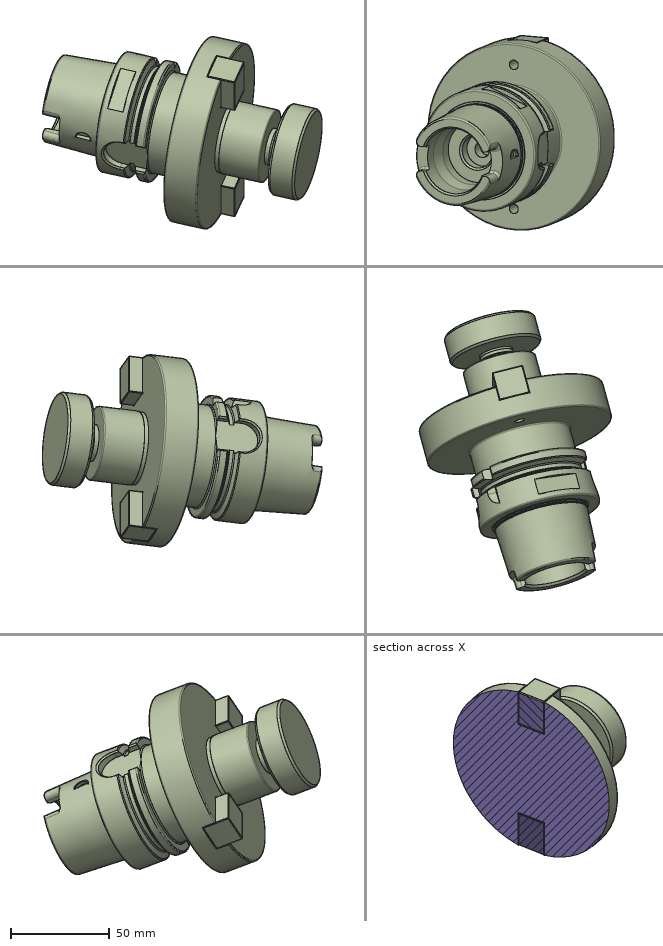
import cadquery as cq
import math


total_length = 136.0
shank_length = 32.0
shank_front_r = 22.8
shank_rear_r = 24.3
shank_edge_r = 1.0
relief_width = 1.6
relief_r = 24.0
relief_corner = 0.5
face_recess_r = 25.5
face_recess_depth = 0.5

grip_length = 25.8
grip_d = 63.0
rim_r = 0.8
groove_center_x = 18.0
groove_r = 27.3
groove_top_width = 6.0
groove_floor_width = 2.0
groove_corner_length = 0.7
groove_corner_height = 0.5
groove_edge = 0.5

neck_r = 26.4
neck_fillet = 0.7
disc_x = 41.9
disc_length = 18.0
disc_d = 97.0
disc_edge_r = 0.7
pilot_d = 38.1
pilot_end_x = 83.5
pilot_edge_r = 0.5
pilot_relief_d = 37.5
pilot_relief_length = 2.2

bore_r = 17.0
bore_mouth_r = 17.8
bore_mouth_length = 1.4
bore_land_end = 12.9
bore_taper_end = 21.9
bore_depth = 28.5
bore_floor_d = 31.7
socket_mouth_r = 9.5
socket_d = 17.0
socket_depth = 6.8
coolant_d = 8.0
coolant_depth = 6.8

tail_slot_width = 12.6
tail_slot_depth_front = 9.9
tail_slot_depth_back = 5.8
tail_slot_edge_r = 2.7
tail_slot_floor_r = 1.4
access_x = -9.1
access_mouth_r = 4.4
access_d = 7.5
access_depth = 2.2

grip_slot_r = 8.7
grip_slot_center_x = 12.8
grip_slot_floor_y = 26.4
grip_slot_edge = 1.0
notch_y = 19.9
notch_z = 20.0
notch_r = 7.9
chip_pocket_x = 3.4
chip_pocket_length = 8.2
chip_pocket_floor_r = 29.2
chip_pocket_tilt = 21.5
push_hole_d = 4.9
push_hole_z = 37.4

key_width = 16.0
key_length = 15.0
key_x = 52.2
key_inner_z = 27.6
key_outer_z = 47.7
key_edge = 0.4
screw_thread_d = 19.0
screw_thread_end_x = 85.8
screw_depth = 27.2
screw_relief_d = 17.3
screw_relief_x = 87.2
screw_relief_length = 1.6
screw_collar_d = 17.5
screw_collar_x = 86.8
screw_head_x = 89.9
screw_head_r = 24.0
screw_head_edge_length = 1.2
screw_head_edge_depth = 1.0

shank_x = -shank_length
disc_end_x = disc_x + disc_length
grip_r = grip_d / 2
disc_r = disc_d / 2
pilot_r = pilot_d / 2
bore_floor_r = bore_floor_d / 2
socket_r = socket_d / 2
access_r = access_d / 2
screw_head_end_x = shank_x + total_length
screw_bottom_x = pilot_end_x - screw_depth

tolerance = 0.07
clear = 13.6


def turned(profile):
    """Solid of revolution about X from (x, radius) points."""
    return cq.Workplane("XY").polyline(profile).close().revolve(360, (0, 0, 0), (1, 0, 0))


def rounded(body, corners, radius):
    """Body with its circular edges at the given (x, radius) corners rounded."""
    edges = [
        edge for edge in body.edges().vals()
        if edge.geomType() == "CIRCLE" and any(
            math.isclose(edge.Center().x, x, abs_tol=tolerance)
            and math.isclose(edge.radius(), r, abs_tol=tolerance)
            for x, r in corners
        )
    ]
    return body.newObject(edges).fillet(radius)


def box(x_range, y_range, z_range):
    """Box from its ranges along X, Y and Z."""
    ranges = (x_range, y_range, z_range)
    size = [high - low for low, high in ranges]
    return cq.Workplane("XY").box(*size, centered=False).translate([low for low, high in ranges])


def shank():
    """Hollow tapered shank with two rounded drive slots in its open end."""
    blank = turned([
        (shank_x, 0),
        (shank_x, shank_front_r),
        (-relief_width, shank_rear_r),
        (-relief_width + relief_corner, relief_r),
        (-relief_corner, relief_r),
        (0, shank_rear_r),
        (0, 0),
    ])
    body = blank.cut(shank_bore())
    half = tail_slot_width / 2
    reach = shank_rear_r + clear
    body = body.cut(box((shank_x - clear, shank_x + tail_slot_depth_front), (-reach, 0), (-half, half)))
    body = body.cut(box((shank_x - clear, shank_x + tail_slot_depth_back), (0, reach), (-half, half)))

    body = body.newObject([e for e in body.edges().vals() if is_slot_side_edge(e)]).fillet(tail_slot_edge_r)
    body = body.newObject([e for e in body.edges().vals() if is_slot_floor_edge(e)]).fillet(tail_slot_floor_r)
    return body.intersect(rounded(blank, [(shank_x, shank_front_r)], shank_edge_r))


def is_slot_side_edge(edge):
    """True for the edges where the sides of the shank slots meet the outside of the taper."""
    center = edge.Center()
    on_side = math.isclose(abs(center.z), tail_slot_width / 2, abs_tol=tolerance)
    outside = abs(center.y) > (bore_r + shank_front_r) / 2
    return on_side and outside and edge.BoundingBox().xlen > tolerance


def is_slot_floor_edge(edge):
    """True for the straight edges where the sides of the shank slots meet their floors."""
    across = edge.geomType() == "LINE" and edge.BoundingBox().xlen < tolerance
    return across and edge.Center().x > shank_x + tail_slot_depth_back - tolerance


def shank_bore():
    """Bore of the shank: conical mouth, straight land, taper, straight end and stepped hole in the floor."""
    floor_x = shank_x + bore_depth
    socket_x = floor_x + socket_depth
    return turned([
        (shank_x, 0),
        (shank_x, bore_mouth_r),
        (shank_x + bore_mouth_length, bore_r),
        (shank_x + bore_land_end, bore_r),
        (shank_x + bore_taper_end, bore_floor_r),
        (floor_x, bore_floor_r),
        (floor_x, socket_mouth_r),
        (floor_x + socket_mouth_r - socket_r, socket_r),
        (socket_x, socket_r),
        (socket_x, coolant_d / 2),
        (socket_x + coolant_depth, coolant_d / 2),
        (socket_x + coolant_depth, 0),
    ])


def flange_and_pilot():
    """Gripping flange, neck, drive disc and pilot, turned in one piece behind the seating face."""
    groove_front = groove_center_x - groove_top_width / 2
    groove_back = groove_center_x + groove_top_width / 2
    floor_front = groove_center_x - groove_floor_width / 2
    floor_back = groove_center_x + groove_floor_width / 2
    body = turned([
        (0, 0),
        (0, shank_rear_r),
        (face_recess_depth, shank_rear_r),
        (face_recess_depth, face_recess_r),
        (0, face_recess_r),
        (0, grip_r),
        (groove_front - groove_edge, grip_r),
        (groove_front, grip_r - groove_edge),
        (floor_front - groove_corner_length, groove_r + groove_corner_height),
        (floor_front, groove_r),
        (floor_back, groove_r),
        (floor_back + groove_corner_length, groove_r + groove_corner_height),
        (groove_back, grip_r - groove_edge),
        (groove_back + groove_edge, grip_r),
        (grip_length, grip_r),
        (grip_length, neck_r),
        (disc_x, neck_r),
        (disc_x, disc_r),
        (disc_end_x, disc_r),
        (disc_end_x, pilot_relief_d / 2),
        (disc_end_x + pilot_relief_length, pilot_relief_d / 2),
        (disc_end_x + pilot_relief_length, pilot_r),
        (pilot_end_x, pilot_r),
        (pilot_end_x, 0),
    ])
    body = rounded(body, [(0, grip_r), (grip_length, grip_r)], rim_r)
    body = rounded(body, [(grip_length, neck_r), (disc_x, neck_r)], neck_fillet)
    body = rounded(body, [(disc_x, disc_r), (disc_end_x, disc_r)], disc_edge_r)
    return rounded(body, [(pilot_end_x, pilot_r)], pilot_edge_r)


def access_pocket():
    """Half-round pocket above Z = 0, with a conical mouth, sunk into the -Y side of the taper."""
    surface_r = shank_rear_r - (shank_rear_r - shank_front_r) * -access_x / shank_length
    mouth_depth = access_mouth_r - access_r
    half_profile = [
        (0, 0),
        (access_r, 0),
        (access_r, access_depth - mouth_depth),
        (access_mouth_r, access_depth),
        (access_mouth_r, access_depth + clear),
        (0, access_depth + clear),
    ]
    pocket = cq.Workplane("XY").polyline(half_profile).close().revolve(180, (0, 0, 0), (0, 1, 0))
    pocket = pocket.rotate((0, 0, 0), (1, 0, 0), 180)
    return pocket.translate((access_x, access_depth - surface_r, 0))


def round_ended_cutter(center_x, center_z, radius, floor_y):
    """Cutter for a slot with a round end about center_x; it runs to the neck and is cut down to floor_y."""
    end_x = grip_length + neck_fillet
    profile = (
        cq.Workplane("XZ", origin=(0, floor_y, 0))
        .moveTo(end_x, center_z - radius)
        .lineTo(center_x, center_z - radius)
        .threePointArc((center_x - radius, center_z), (center_x, center_z + radius))
        .lineTo(end_x, center_z + radius)
        .close()
    )
    return profile.extrude(-clear)


def grip_slots():
    """Cutters for the two opposite keyways of the gripping flange, chamfered where they open into the rim."""
    end_x = grip_length + neck_fillet
    rim = turned([(0, 0), (0, grip_r), (end_x, grip_r), (end_x, 0)])
    slot = round_ended_cutter(grip_slot_center_x, 0, grip_slot_r, grip_slot_floor_y)
    slotted = rim.cut(slot).cut(slot.mirror("XZ"))
    rim_edges = [edge for edge in slotted.edges().vals() if is_grip_slot_edge(edge)]
    return rim.cut(slotted.newObject(rim_edges).chamfer(grip_slot_edge))


def is_grip_slot_edge(edge):
    """True for the edges where the walls of the keyways meet the cylindrical rim of the flange."""
    start, middle, end = (edge.positionAt(along) for along in (0, 0.5, 1))
    on_rim = all(
        math.isclose(math.hypot(point.y, point.z), grip_r, abs_tol=tolerance)
        for point in (start, middle, end)
    )
    box_of_edge = edge.BoundingBox()
    return on_rim and box_of_edge.xlen > tolerance and abs(middle.z) < grip_slot_r + tolerance


def orientation_notch():
    """Cutter for the round-ended corner notch at the +Y, +Z side of the flange."""
    return round_ended_cutter(grip_slot_center_x, notch_z + notch_r, notch_r, notch_y)


def chip_pocket():
    """Cutter for the flat pocket in the flange rim."""
    x_range = (chip_pocket_x, chip_pocket_x + chip_pocket_length)
    pocket = box(x_range, (-grip_r, grip_r), (chip_pocket_floor_r, chip_pocket_floor_r + clear))
    return pocket.rotate((0, 0, 0), (1, 0, 0), chip_pocket_tilt)


def drive_key(side):
    """Rectangular drive key; side is +1 for the top key and -1 for the bottom one."""
    z_range = sorted((side * key_inner_z, side * key_outer_z))
    key = box((key_x, key_x + key_length), (-key_width / 2, key_width / 2), z_range)
    return key.edges().chamfer(key_edge)


def key_seat(side):
    """Cutter for the slot that holds a drive key, open at the disc rim, and the push-out hole behind it."""
    z_range = sorted((side * key_inner_z, side * (disc_r + clear)))
    seat = box((key_x, disc_end_x + clear), (-key_width / 2, key_width / 2), z_range)
    hole = (
        cq.Workplane("YZ", origin=(disc_x, 0, side * push_hole_z))
        .circle(push_hole_d / 2)
        .extrude(key_x - disc_x)
    )
    return seat.union(hole)


def arbor():
    """The one-piece arbor with all its cuts."""
    body = shank().union(flange_and_pilot().cut(shank_bore()))
    body = body.cut(access_pocket()).cut(grip_slots())
    body = body.cut(orientation_notch()).cut(chip_pocket())
    for side in (1, -1):
        body = body.cut(key_seat(side))
    screw_hole = turned([
        (screw_bottom_x, 0),
        (screw_bottom_x, screw_thread_d / 2),
        (pilot_end_x, screw_thread_d / 2),
        (pilot_end_x, 0),
    ])
    return body.cut(screw_hole)


def retaining_screw():
    """Screw with a large round head, a relief under the head and a thread that fills the pilot's hole."""
    thread_r = screw_thread_d / 2
    collar_r = screw_collar_d / 2
    screw_relief_r = screw_relief_d / 2
    face_r = screw_head_r - screw_head_edge_depth
    return turned([
        (screw_bottom_x, 0),
        (screw_bottom_x, thread_r),
        (screw_thread_end_x, thread_r),
        (screw_collar_x, collar_r),
        (screw_relief_x, collar_r),
        (screw_relief_x, screw_relief_r),
        (screw_relief_x + screw_relief_length, screw_relief_r),
        (screw_relief_x + screw_relief_length, collar_r),
        (screw_head_x, collar_r),
        (screw_head_x, face_r),
        (screw_head_x + screw_head_edge_length, screw_head_r),
        (screw_head_end_x - screw_head_edge_length, screw_head_r),
        (screw_head_end_x, face_r),
        (screw_head_end_x, 0),
    ])


arbor_body = arbor()
key_bodies = [drive_key(side) for side in (1, -1)]
screw_body = retaining_screw()

result = cq.Compound.makeCompound([
    arbor_body.val(),
    *[key.val() for key in key_bodies],
    screw_body.val(),
])